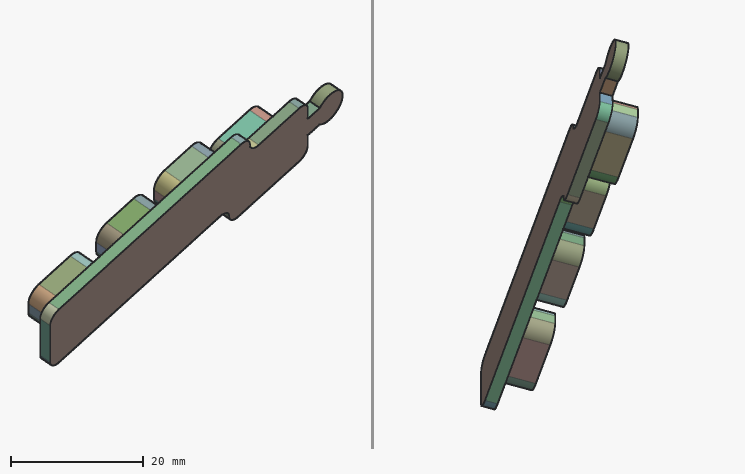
import cadquery as cq

length = 67.0
height = 17.1
plate_thickness = 2.0
pad_height = 4.95

band_height = 13.0
upper_band_end = 45.8
lower_band_start = 41.0
lower_band_end = 59.05
corner_radius = 2.0
step = height - band_height

tab_radius = 3.0
neck_width = 4.0
tab_y = length - tab_radius
tab_z = band_height / 2

pad_width = 7.05
pad_corner_radius = 2.4
long_pad = 12.0
short_pad = 11.0
pad_margin = (band_height - pad_width) / 2
upper_pads = [(pad_margin, long_pad), (18.5, short_pad), (31.8, short_pad)]
lower_pad = (lower_band_end - pad_margin - long_pad, long_pad)


def make_block(y_start, z_start, y_size, z_size, x_size):
    """Box that reaches from X = 0 towards +X for a positive x_size."""
    block = cq.Workplane("YZ").rect(y_size, z_size).extrude(x_size)
    return block.translate((0, y_start + y_size / 2, z_start + z_size / 2))


def make_plate():
    outline = [
        (0, step),
        (lower_band_start, step),
        (lower_band_start, 0),
        (lower_band_end, 0),
        (lower_band_end, band_height),
        (upper_band_end, band_height),
        (upper_band_end, height),
        (0, height),
    ]
    plate = cq.Workplane("YZ").polyline(outline).close().extrude(plate_thickness)
    return plate.edges("|X").fillet(corner_radius)


def make_tab():
    disc = cq.Workplane("YZ").center(tab_y, tab_z).circle(tab_radius).extrude(plate_thickness)
    neck = make_block(
        lower_band_end - corner_radius,
        tab_z - neck_width / 2,
        tab_y - lower_band_end + corner_radius,
        neck_width,
        plate_thickness,
    )
    return disc.union(neck)


def make_pad(y_start, pad_length, band_bottom):
    pad = make_block(y_start, band_bottom + pad_margin, pad_length, pad_width, -pad_height)
    return pad.edges("|X").fillet(pad_corner_radius)


result = make_plate().union(make_tab())
for y_start, pad_length in upper_pads:
    result = result.union(make_pad(y_start, pad_length, step))
result = result.union(make_pad(*lower_pad, 0))